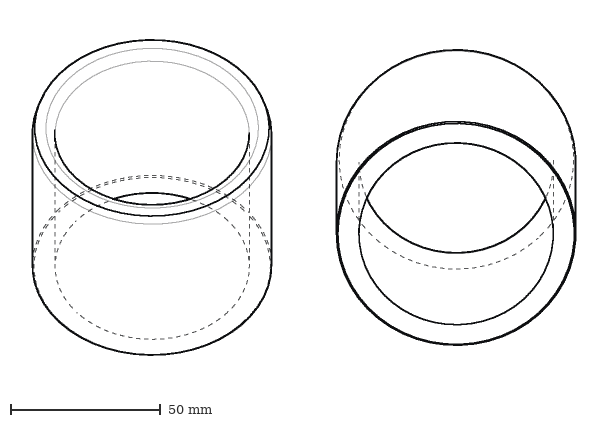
import cadquery as cq
import math

outer_diameter = 80.0
bore_diameter = 65.0
height = 70.0

lead_in_height = 3.0
lead_in_angle = 15.0
bore_round_radius = 3.0
bottom_chamfer = 0.5

outer_radius = outer_diameter / 2
bore_radius = bore_diameter / 2
lead_in_width = lead_in_height * math.tan(math.radians(lead_in_angle))

sleeve = cq.Workplane("XY").circle(outer_radius).circle(bore_radius).extrude(height)

bore_mouth = cq.selectors.RadiusNthSelector(0)
sleeve = sleeve.faces(">Z").edges(bore_mouth).fillet(bore_round_radius)

taper_tool = (
    cq.Workplane("XZ")
    .moveTo(outer_radius, height - lead_in_height)
    .lineTo(outer_radius, height)
    .lineTo(outer_radius - lead_in_width, height)
    .close()
    .revolve(360, (0, 0, 0), (0, 1, 0))
)
sleeve = sleeve.cut(taper_tool)

bottom_rim = cq.selectors.RadiusNthSelector(-1)
result = sleeve.faces("<Z").edges(bottom_rim).chamfer(bottom_chamfer)